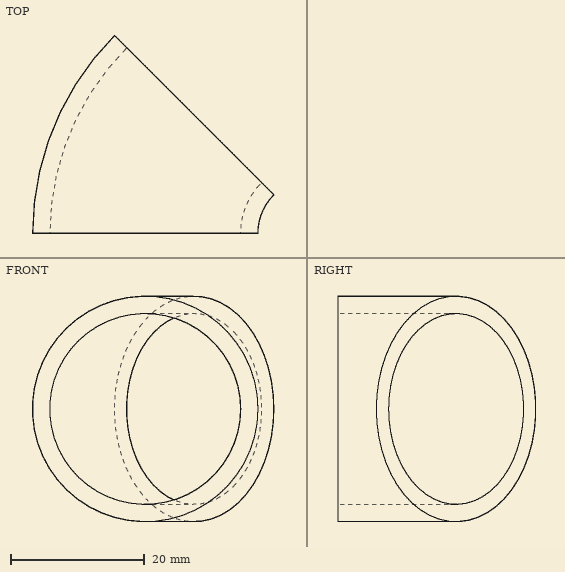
import cadquery as cq

outer_diameter = 33.7
wall_thickness = 2.6
bend_radius = 25.0
bend_angle = 45.0

inner_diameter = outer_diameter - 2 * wall_thickness


def pipe_bend(diameter):
    """Solid round bar starting at the origin, heading +Y and curving towards +X."""
    section = cq.Workplane("XZ").circle(diameter / 2)
    return section.revolve(bend_angle, (bend_radius, 0), (bend_radius, -1))


result = pipe_bend(outer_diameter).cut(pipe_bend(inner_diameter))